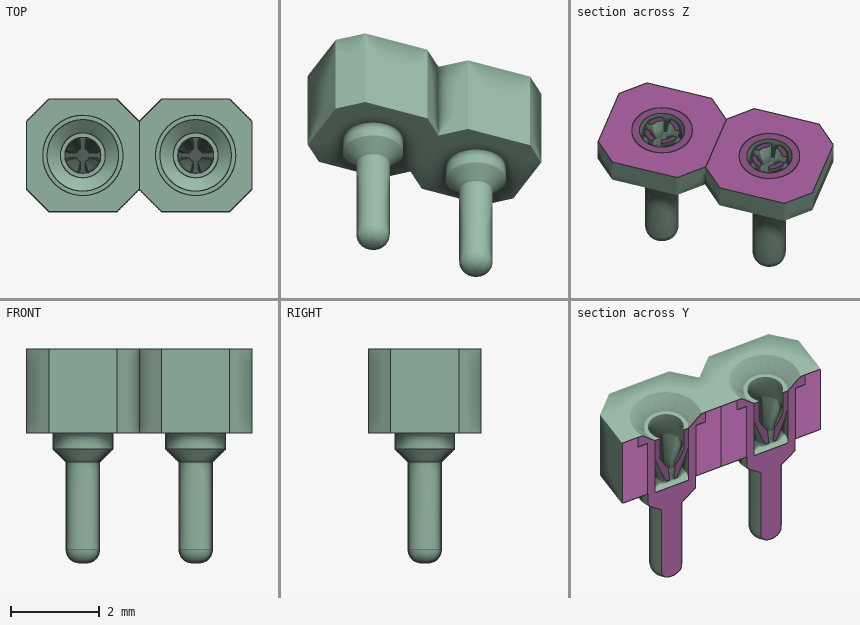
import cadquery as cq
import math


COUNT = 2
PITCH = 2.54
INSULATOR_HEIGHT = 1.9
CORNER_CUT = 0.505

FLANGE_RADIUS = 1.81 / 2
BARREL_RADIUS = 1.35 / 2
TAIL_RADIUS = 0.75 / 2
BARREL_PROTRUSION = 0.355
SHOULDER_HEIGHT = 0.295
PIN_LENGTH = 4.82
TIP_ROUND = 0.3

MOUTH_RADIUS = 1.61 / 2
BORE_RADIUS = 1.01 / 2
MOUTH_DEPTH = MOUTH_RADIUS - BORE_RADIUS
BORE_DEPTH = 1.93
FLANGE_THICKNESS = MOUTH_DEPTH

CLIP_INNER_RADIUS = 0.81 / 2
CLIP_SLEEVE_LENGTH = 0.61
FINGER_LENGTH = 0.815
FINGER_TIP_INNER_RADIUS = 0.3 / 2
FINGER_TIP_OUTER_RADIUS = 0.6 / 2
SLOT_WIDTH_TOP = 0.25
SLOT_WIDTH_BOTTOM = 0.095

FLANGE_BOTTOM = INSULATOR_HEIGHT - FLANGE_THICKNESS
BORE_TOP = INSULATOR_HEIGHT - MOUTH_DEPTH
BORE_FLOOR = INSULATOR_HEIGHT - BORE_DEPTH
SHOULDER_TOP = -BARREL_PROTRUSION
SHOULDER_BOTTOM = SHOULDER_TOP - SHOULDER_HEIGHT
PIN_BOTTOM = INSULATOR_HEIGHT - PIN_LENGTH
FINGER_TOP = BORE_TOP - CLIP_SLEEVE_LENGTH
FINGER_BOTTOM = FINGER_TOP - FINGER_LENGTH


def revolve_about_z(profile):
    """Turn a closed (radius, height) profile drawn on the XZ plane about the Z axis."""
    return profile.close().revolve(360, (0, 0, 0), (0, 1, 0))


def make_insulator():
    """Square block with cut corners and a stepped hole that fits the pin."""
    block = (
        cq.Workplane("XY")
        .rect(PITCH, PITCH)
        .extrude(INSULATOR_HEIGHT)
        .edges("|Z")
        .chamfer(CORNER_CUT)
    )
    barrel_hole = cq.Workplane("XY").circle(BARREL_RADIUS).extrude(INSULATOR_HEIGHT)
    flange_seat = (
        cq.Workplane("XY", origin=(0, 0, FLANGE_BOTTOM))
        .circle(FLANGE_RADIUS)
        .extrude(FLANGE_THICKNESS)
    )
    return block.cut(barrel_hole).cut(flange_seat)


def make_pin():
    """Turned pin: flange, barrel, shoulder and round-ended tail, with a blind bore."""
    arc_offset = TIP_ROUND * math.sqrt(0.5)
    tip_center_radius = TAIL_RADIUS - TIP_ROUND
    tip_top = PIN_BOTTOM + TIP_ROUND
    return revolve_about_z(
        cq.Workplane("XZ")
        .moveTo(0, PIN_BOTTOM)
        .lineTo(tip_center_radius, PIN_BOTTOM)
        .threePointArc(
            (tip_center_radius + arc_offset, tip_top - arc_offset),
            (TAIL_RADIUS, tip_top),
        )
        .lineTo(TAIL_RADIUS, SHOULDER_BOTTOM)
        .lineTo(BARREL_RADIUS, SHOULDER_TOP)
        .lineTo(BARREL_RADIUS, FLANGE_BOTTOM)
        .lineTo(FLANGE_RADIUS, FLANGE_BOTTOM)
        .lineTo(FLANGE_RADIUS, INSULATOR_HEIGHT)
        .lineTo(MOUTH_RADIUS, INSULATOR_HEIGHT)
        .lineTo(BORE_RADIUS, BORE_TOP)
        .lineTo(BORE_RADIUS, BORE_FLOOR)
        .lineTo(0, BORE_FLOOR)
    )


def make_finger_slot():
    """Slot along X right across the clip, narrowing towards the finger tips."""
    return (
        cq.Workplane("YZ")
        .moveTo(-SLOT_WIDTH_TOP / 2, FINGER_TOP)
        .lineTo(SLOT_WIDTH_TOP / 2, FINGER_TOP)
        .lineTo(SLOT_WIDTH_BOTTOM / 2, FINGER_BOTTOM)
        .lineTo(-SLOT_WIDTH_BOTTOM / 2, FINGER_BOTTOM)
        .close()
        .extrude(2 * BORE_RADIUS, both=True)
    )


def make_clip():
    """Sleeve that fills the bore, with four fingers closing in below it."""
    body = revolve_about_z(
        cq.Workplane("XZ")
        .moveTo(CLIP_INNER_RADIUS, BORE_TOP)
        .lineTo(BORE_RADIUS, BORE_TOP)
        .lineTo(BORE_RADIUS, FINGER_TOP)
        .lineTo(FINGER_TIP_OUTER_RADIUS, FINGER_BOTTOM)
        .lineTo(FINGER_TIP_INNER_RADIUS, FINGER_BOTTOM)
        .lineTo(CLIP_INNER_RADIUS, FINGER_TOP)
    )
    slot = make_finger_slot()
    crossing_slot = slot.rotate((0, 0, 0), (0, 0, 1), 90)
    return body.cut(slot).cut(crossing_slot)


bodies = []
for index in range(COUNT):
    position = ((index - (COUNT - 1) / 2) * PITCH, 0, 0)
    for make_body in (make_insulator, make_pin, make_clip):
        bodies.append(make_body().translate(position).solids().val())

result = cq.Compound.makeCompound(bodies)